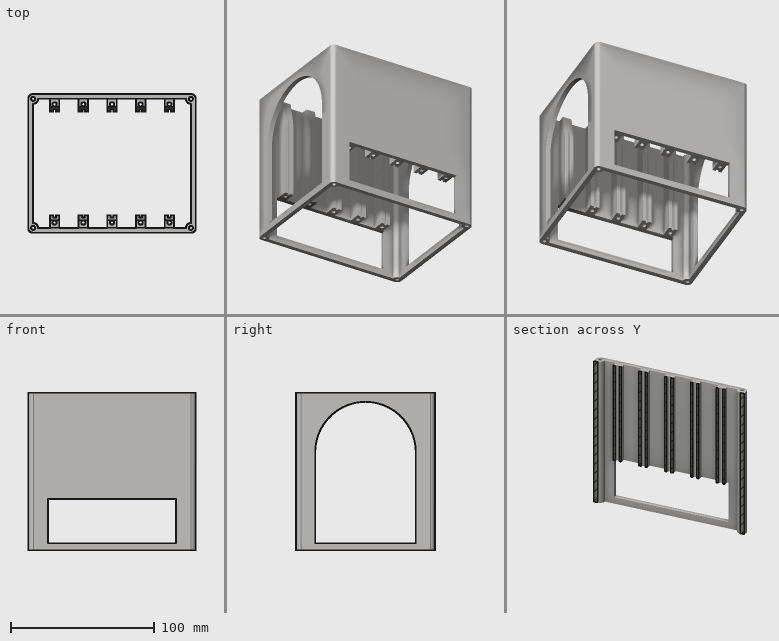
import cadquery as cq

LENGTH = 117.0
WIDTH = 97.0
HEIGHT = 110.0
WALL = 3.5
CORNER_RADIUS = 3.5
POST_RADIUS = CORNER_RADIUS
CORNER_HOLE_DIAMETER = 2.7

SILL_HEIGHT = 5.0
WINDOW_LENGTH = 88.9
WINDOW_TOP = 35.7
ARCH_WIDTH = 70.0
ARCH_TOP = 103.4

RIM_STEP = 0.1
RAIL_TOP = HEIGHT - RIM_STEP
RAIL_COUNT = 5
RAIL_PITCH = 20.0
RAIL_WIDTH = 6.8
RAIL_DEPTH = 8.9
RAMP_DEPTH = 3.4
RAMP_HEIGHT = 17.5
SLOT_WIDTH = 1.6
SLOT_DEPTH = 1.5
RAIL_HOLE_DIAMETER = 2.8
RAIL_HOLE_OFFSET = 3.7

INNER_LENGTH = LENGTH - 2 * WALL
INNER_WIDTH = WIDTH - 2 * WALL
CORNERS = [(sx * INNER_LENGTH / 2, sy * INNER_WIDTH / 2) for sx in (-1, 1) for sy in (-1, 1)]


def make_tube():
    """Open tube with rounded outer corners and a round post in each inner corner."""
    outer = cq.Workplane("XY").rect(LENGTH, WIDTH).extrude(HEIGHT).edges("|Z").fillet(CORNER_RADIUS)
    tube = outer.cut(cq.Workplane("XY").rect(INNER_LENGTH, INNER_WIDTH).extrude(HEIGHT))
    posts = cq.Workplane("XY").pushPoints(CORNERS).circle(POST_RADIUS).extrude(HEIGHT)
    return tube.union(posts)


def make_corner_holes():
    """Screw holes along the full height of the corner posts."""
    return cq.Workplane("XY").pushPoints(CORNERS).circle(CORNER_HOLE_DIAMETER / 2).extrude(HEIGHT)


def make_windows():
    """Rectangular window through both long walls."""
    size = (WINDOW_LENGTH, WIDTH, WINDOW_TOP - SILL_HEIGHT)
    return cq.Workplane("XY").workplane(offset=SILL_HEIGHT).box(*size, centered=(True, True, False))


def make_arches():
    """Round-topped opening through both short walls."""
    half = ARCH_WIDTH / 2
    spring = ARCH_TOP - half
    return (
        cq.Workplane("YZ")
        .moveTo(-half, SILL_HEIGHT)
        .lineTo(half, SILL_HEIGHT)
        .lineTo(half, spring)
        .threePointArc((0, ARCH_TOP), (-half, spring))
        .close()
        .extrude(LENGTH / 2, both=True)
    )


def make_rail():
    """Guide rail on the -Y wall at X = 0, ramped at the top, slotted and drilled along Z."""
    root = -INNER_WIDTH / 2
    tip = root + RAIL_DEPTH
    body = (
        cq.Workplane("YZ")
        .moveTo(root, WINDOW_TOP)
        .lineTo(tip, WINDOW_TOP)
        .lineTo(tip, RAIL_TOP - RAMP_HEIGHT)
        .lineTo(tip - RAMP_DEPTH, RAIL_TOP)
        .lineTo(root, RAIL_TOP)
        .close()
        .extrude(RAIL_WIDTH / 2, both=True)
    )
    slot = cq.Workplane("XY").center(0, tip - SLOT_DEPTH / 2).rect(SLOT_WIDTH, SLOT_DEPTH).extrude(HEIGHT)
    hole = cq.Workplane("XY").center(0, root + RAIL_HOLE_OFFSET).circle(RAIL_HOLE_DIAMETER / 2).extrude(HEIGHT)
    return body.cut(slot).cut(hole)


result = make_tube().cut(make_corner_holes()).cut(make_windows()).cut(make_arches())

front_rail = make_rail()
for wall_rail in (front_rail, front_rail.mirror("XZ")):
    for index in range(RAIL_COUNT):
        x = (index - (RAIL_COUNT - 1) / 2) * RAIL_PITCH
        result = result.union(wall_rail.translate((x, 0, 0)))